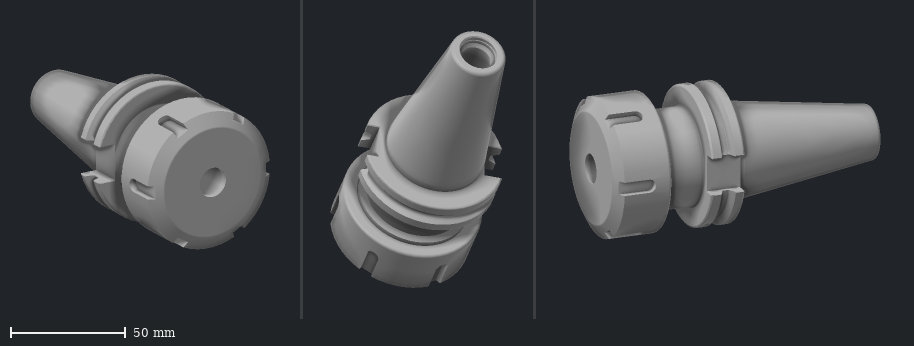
import cadquery as cq
import math


total_length = 131.8
bore_diameter = 13.5

gauge_x = 68.2
gauge_diameter = 44.4
taper_rise = 7 / 48
taper_end_fillet = 2.0

mouth_chamfer = 0.5
mouth_diameter = 16.9
mouth_end_x = 2.1
counterbore_diameter = 16.3
counterbore_end_x = 4.0

flange_start_x = 71.4
flange_end_x = 87.2
flange_diameter = 63.5
flange_edge_fillet = 1.0
groove_center_x = 79.2
groove_outer_width = 6.7
groove_floor_width = 3.2
groove_floor_diameter = 56.1
groove_floor_fillet = 0.5
neck_fillet = 0.7

drive_slot_width = 16.3
drive_slot_chamfer = 0.4
front_slot_floor = 22.4
back_slot_floor = 24.9

spigot_diameter = 50.0
spigot_cone_x = 103.3
spigot_cone_length = 1.0

nut_start_x = 106.0
nut_diameter = 63.0
nut_back_fillet = 1.5
nut_face_diameter = 50.2
nut_cone_angle = 28.0
nut_face_fillet = 1.5
socket_depth = 15.8
socket_chamfer = 0.5

spanner_slot_count = 6
spanner_slot_width = 6.0
spanner_slot_start_x = 113.7
spanner_slot_floor = 28.3

gauge_radius = gauge_diameter / 2
small_end_radius = gauge_radius - taper_rise * gauge_x
bore_radius = bore_diameter / 2
flange_radius = flange_diameter / 2
groove_floor_radius = groove_floor_diameter / 2
groove_floor_start_x = groove_center_x - groove_floor_width / 2
groove_floor_end_x = groove_center_x + groove_floor_width / 2
spigot_radius = spigot_diameter / 2
nut_radius = nut_diameter / 2
socket_end_x = nut_start_x + socket_depth

tolerance = 0.01


def turned(points):
    """Revolve a closed (x, radius) outline about the X axis."""
    return cq.Workplane("XY").polyline(points).close().revolve(360, (0, 0, 0), (1, 0, 0))


def circle_edges(solid, x, radius):
    """Pick the circular edges of the given radius around the X axis at position x."""

    def matches(edge):
        box = edge.BoundingBox()
        at_x = abs(box.xmin - x) < tolerance and abs(box.xmax - x) < tolerance
        return at_x and abs(edge.radius() - radius) < tolerance

    circles = [edge for edge in solid.edges("%CIRCLE").vals() if matches(edge)]
    return solid.newObject(circles)


def make_holder_blank():
    """Taper, gauge band, flange, neck and spigot, with the stepped bore through them."""
    mouth_radius = mouth_diameter / 2
    counterbore_radius = counterbore_diameter / 2
    mouth_step = mouth_radius - counterbore_radius
    counterbore_step = counterbore_radius - bore_radius

    outside = [
        (0, small_end_radius),
        (gauge_x, gauge_radius),
        (flange_start_x, gauge_radius),
        (flange_start_x, flange_radius),
        (groove_center_x - groove_outer_width / 2, flange_radius),
        (groove_floor_start_x, groove_floor_radius),
        (groove_floor_end_x, groove_floor_radius),
        (groove_center_x + groove_outer_width / 2, flange_radius),
        (flange_end_x, flange_radius),
        (flange_end_x, gauge_radius),
        (spigot_cone_x, gauge_radius),
        (spigot_cone_x + spigot_cone_length, spigot_radius),
        (socket_end_x, spigot_radius),
    ]
    inside = [
        (socket_end_x, bore_radius),
        (counterbore_end_x + counterbore_step, bore_radius),
        (counterbore_end_x, counterbore_radius),
        (mouth_end_x + mouth_step, counterbore_radius),
        (mouth_end_x, mouth_radius),
        (mouth_chamfer, mouth_radius),
        (0, mouth_radius + mouth_chamfer),
    ]
    return turned(outside + inside)


def drive_slot(floor, side):
    """Cutter for a slot across the flange; side is -1 for -Y and +1 for +Y."""
    flange_width = flange_end_x - flange_start_x
    center_x = (flange_start_x + flange_end_x) / 2
    return (
        cq.Workplane("XY")
        .box(flange_width, flange_radius, drive_slot_width)
        .translate((center_x, side * (floor + flange_radius / 2), 0))
    )


def drive_slot_rims(solid):
    """Pick the edges of the slot walls along the flange end faces and rims, leaving out floor and groove."""

    def matches(edge):
        center = edge.Center()
        on_wall = abs(abs(center.z) - drive_slot_width / 2) < tolerance
        on_face = min(abs(center.x - flange_start_x), abs(center.x - flange_end_x)) < tolerance
        on_rim = abs(math.hypot(center.y, center.z) - flange_radius) < tolerance
        return on_wall and (on_face or on_rim)

    return solid.newObject([edge for edge in solid.edges("%LINE").vals() if matches(edge)])


def round_holder_edges(solid):
    """Fillet the taper end, the flange rims, the groove floor and the neck corner."""
    fillets = [
        (0, small_end_radius, taper_end_fillet),
        (flange_start_x, flange_radius, flange_edge_fillet),
        (flange_end_x, flange_radius, flange_edge_fillet),
        (groove_floor_start_x, groove_floor_radius, groove_floor_fillet),
        (groove_floor_end_x, groove_floor_radius, groove_floor_fillet),
        (flange_end_x, gauge_radius, neck_fillet),
    ]
    for x, radius, fillet in fillets:
        solid = circle_edges(solid, x, radius).fillet(fillet)
    return solid


def make_holder():
    holder = make_holder_blank()
    holder = holder.cut(drive_slot(front_slot_floor, -1))
    holder = holder.cut(drive_slot(back_slot_floor, 1))
    holder = drive_slot_rims(holder).chamfer(drive_slot_chamfer)
    return round_holder_edges(holder)


def make_nut_blank():
    """Round nut with a coned front and a socket that fits the spigot."""
    face_radius = nut_face_diameter / 2
    cone_length = (nut_radius - face_radius) * math.tan(math.radians(nut_cone_angle))
    blank = turned(
        [
            (nut_start_x, nut_radius),
            (total_length - cone_length, nut_radius),
            (total_length, face_radius),
            (total_length, bore_radius),
            (socket_end_x, bore_radius),
            (socket_end_x, spigot_radius),
            (nut_start_x + socket_chamfer, spigot_radius),
            (nut_start_x, spigot_radius + socket_chamfer),
        ]
    )
    blank = circle_edges(blank, nut_start_x, nut_radius).fillet(nut_back_fillet)
    return circle_edges(blank, total_length, face_radius).fillet(nut_face_fillet)


def spanner_slot():
    """Cutter for the slot on the -Y side: flat floor, round inner end, open toward +X."""
    half_width = spanner_slot_width / 2
    arc_center_x = spanner_slot_start_x + half_width
    return (
        cq.Workplane("XZ", origin=(0, -spanner_slot_floor, 0))
        .moveTo(total_length, -half_width)
        .lineTo(arc_center_x, -half_width)
        .threePointArc((spanner_slot_start_x, 0), (arc_center_x, half_width))
        .lineTo(total_length, half_width)
        .close()
        .extrude(nut_radius)
    )


def make_nut():
    nut = make_nut_blank()
    for index in range(spanner_slot_count):
        angle = index * 360 / spanner_slot_count
        nut = nut.cut(spanner_slot().rotate((0, 0, 0), (1, 0, 0), angle))
    return nut


holder = make_holder()
nut = make_nut()

result = cq.Compound.makeCompound([holder.val(), nut.val()])